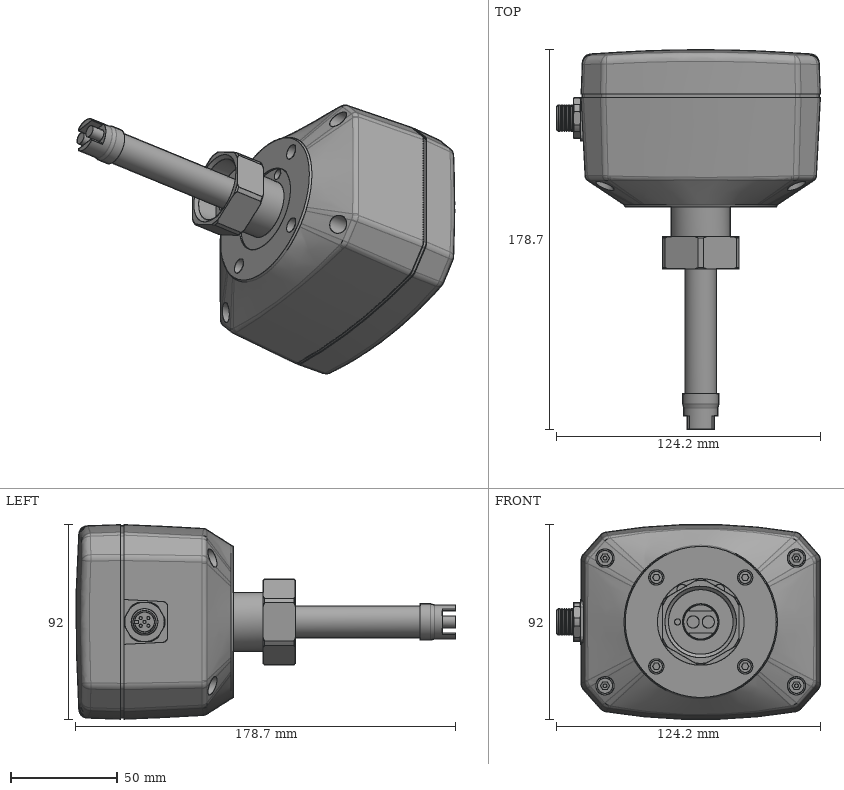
import cadquery as cq
import math


half_width = 56.3
half_height = 46.0
corner_side_z = 30.5
corner_top_x = 46.1
corner_top_z = 42.0
edge_radius = 4.5
back_y = 74.1
dome_radius = 625.3
seam_back_y = 53.0
seam_front_y = 51.5
seam_depth = 0.5
shoulder_y = 13.2
body_draft = 2.9
cover_draft = 2.2
shoulder_radius = 2.7
edge_margin = 0.2

plate_radius = 36.0
plate_thickness = 1.0
plate_draft = 28.0
recess_radius = 20.4
recess_depth = 0.9
recess_hole_radius = 2.5
recess_hole_circle = 17.5
recess_hole_depth = 3.5

corner_screw_x = 45.0
corner_screw_z = 30.0
corner_hole_radius = 4.3
corner_hole_floor = 25.0
plate_screw_offset = 20.9
plate_hole_radius = 3.5
plate_hole_floor = 5.4
screw_head_gap = 0.7
screw_head_height = 1.8
socket_depth = 1.0
socket_ratio = 1.2
security_pin_radius = 0.9

pipe_radius = 14.0
nut_back_y = -14.0
nut_front_y = -29.1
nut_apothem = 18.0
nut_corner_radius = 20.2
nut_bevel = 0.7
nut_bore_radius = 15.2
nut_bore_bevel = 1.6
nut_bore_depth = 11.6
vent_radius = 1.5
vent_x = -10.9
vent_depth = 3.5

tube_radius = 7.5
collar_radius = 8.5
tip_radius = 8.0
collar_back_y = -87.7
collar_front_y = -92.5
tip_back_y = -94.5
slot_y = -98.3
tip_y = back_y - 178.7
guard_half_width = 5.4
guard_inner_z = 5.2
sensor_radius = 2.9
sensor_x = 3.5

plug_y = 41.8
pad_x = -56.5
pad_front_y = 30.9
pad_depth = 5.4
pad_seam_half = 10.5
pad_front_half = 9.5
pad_corner_radius = 2.5
plug_nut_x = -59.9
plug_nut_apothem = 9.1
plug_nut_corner_radius = 9.6
plug_nut_bevel = 0.4
plug_tip_x = -67.9
plug_radius = 6.3
plug_bevel = 0.9
neck_radius = 5.4
neck_length = 0.5
thread_pitch = 1.0
thread_depth = 0.5
plug_bore_radius = 4.6
plug_bore_depth = 5.4
pin_radius = 0.7
pin_offset = 1.8
pin_length = 4.3
key_width = 1.3
key_height = 1.8


def front_plane(y):
    """Plane facing -Y at the given y, with local X along X and local Y along Z."""
    return cq.Plane(origin=(0, y, 0), xDir=(1, 0, 0), normal=(0, -1, 0))


def back_plane(y):
    """Plane facing +Y at the given y, with local X along -X and local Y along Z."""
    return cq.Plane(origin=(0, y, 0), xDir=(-1, 0, 0), normal=(0, 1, 0))


def plug_plane(x):
    """Plane facing -X on the plug axis, with local X along -Y and local Y along Z."""
    return cq.Plane(origin=(x, plug_y, 0), xDir=(0, -1, 0), normal=(-1, 0, 0))


def rod(y_from, y_to, radius, points=((0, 0),)):
    """Cylinders along -Y at the given (x, z) points."""
    return cq.Workplane(front_plane(y_from)).pushPoints(points).circle(radius).extrude(y_from - y_to)


def four_corners(x, z):
    return [(x, z), (-x, z), (-x, -z), (x, -z)]


def outline(plane):
    """Sharp housing outline on the given plane."""
    return (
        cq.Workplane(plane)
        .moveTo(half_width, -corner_side_z)
        .lineTo(half_width, corner_side_z)
        .lineTo(corner_top_x, corner_top_z)
        .threePointArc((0, half_height), (-corner_top_x, corner_top_z))
        .lineTo(-half_width, corner_side_z)
        .lineTo(-half_width, -corner_side_z)
        .lineTo(-corner_top_x, -corner_top_z)
        .threePointArc((0, -half_height), (corner_top_x, -corner_top_z))
        .close()
    )


def tapered(plane, length, draft):
    """Housing outline extruded with draft, its corners still sharp."""
    return outline(plane).extrude(length, taper=draft)


def slab(y_from, y_to):
    """Selects edges whose middle lies between two Y positions."""
    return cq.selectors.BoxSelector((-half_width, y_from, -half_height), (half_width, y_to, half_height))


def nose(front_wire):
    """Ruled funnel from the housing front outline to the round plate."""
    corners = sorted(
        ((v.X, v.Z) for v in front_wire.Vertices()),
        key=lambda p: math.atan2(p[1], p[0]),
    )
    angles = [math.atan2(z, x) for x, z in corners]

    def rim_point(angle):
        return cq.Vector(plate_radius * math.cos(angle), plate_thickness, plate_radius * math.sin(angle))

    arcs = []
    for start, end in zip(angles, angles[1:] + [angles[0] + 2 * math.pi]):
        middle = (start + end) / 2
        arcs.append(cq.Edge.makeThreePointArc(rim_point(start), rim_point(middle), rim_point(end)))
    rim_wire = cq.Wire.assembleEdges(arcs)
    return cq.Workplane(cq.Solid.makeLoft([front_wire, rim_wire], True))


def housing():
    body = tapered(front_plane(seam_front_y), seam_front_y - shoulder_y, body_draft)
    body = body.edges(slab(shoulder_y + edge_margin, seam_front_y - edge_margin)).fillet(edge_radius)
    front_wire = body.faces("<Y").wires().val()
    body = body.union(nose(front_wire))
    body = body.edges(slab(shoulder_y - edge_margin, shoulder_y + edge_margin)).fillet(shoulder_radius)

    cover = tapered(back_plane(seam_back_y), back_y - seam_back_y, cover_draft)
    dome = cq.Workplane("XY").sphere(dome_radius).translate((0, back_y - dome_radius, 0))
    cover = cover.intersect(dome)
    cover = cover.edges(slab(seam_back_y + edge_margin, back_y)).fillet(edge_radius)

    seam_width = seam_back_y - seam_front_y
    seam = outline(front_plane(seam_back_y)).offset2D(-seam_depth).extrude(seam_width)
    seam = seam.edges("|Y").fillet(edge_radius - seam_depth)

    plate = (
        cq.Workplane(front_plane(plate_thickness)).circle(plate_radius)
        .extrude(plate_thickness, taper=plate_draft)
    )
    return body.union(seam).union(cover).union(plate)


def add_screws(part, points, hole_radius, floor_y):
    """Sink round holes and leave a screw head with a hex socket on each floor."""
    head_radius = hole_radius - screw_head_gap
    head_y = floor_y - screw_head_height
    holes = rod(floor_y, 0, hole_radius, points)
    heads = rod(floor_y, head_y, head_radius, points)
    sockets = (
        cq.Workplane(front_plane(head_y + socket_depth)).pushPoints(points)
        .polygon(6, socket_ratio * head_radius).extrude(socket_depth)
    )
    return part.cut(holes).union(heads.cut(sockets))


def hexagon(plane, apothem, corner_r, length, bevel, turn):
    """Hexagon bar whose corners are turned down to a radius, beveled at both ends."""
    width_over_corners = 2 * apothem / math.cos(math.pi / 6)
    bar = cq.Workplane(plane.rotated((0, 0, turn))).polygon(6, width_over_corners).extrude(length)
    turned = cq.Workplane(plane).circle(corner_r).extrude(length).edges().chamfer(bevel)
    return bar.intersect(turned)


def recess():
    cut = rod(recess_depth, 0, recess_radius)
    angles = [math.radians(a) for a in (60, 120)]
    points = [(recess_hole_circle * math.cos(a), recess_hole_circle * math.sin(a)) for a in angles]
    return cut.union(rod(recess_hole_depth, 0, recess_hole_radius, points))


def union_nut():
    length = nut_back_y - nut_front_y
    nut = hexagon(front_plane(nut_back_y), nut_apothem, nut_corner_radius, length, nut_bevel, 30)
    floor_y = nut_front_y + nut_bore_depth
    nut = nut.cut(rod(floor_y, nut_front_y, nut_bore_radius))
    nut = nut.faces("<Y").edges("%CIRCLE").edges(cq.selectors.RadiusNthSelector(0)).chamfer(nut_bore_bevel)
    vent = rod(floor_y + vent_depth, floor_y, vent_radius, [(vent_x, 0)])
    return nut.union(rod(recess_depth, floor_y, pipe_radius)).cut(vent)


def probe():
    """Turned tube with collar; two guards and two sensor pins stand at its tip."""
    profile = [
        (0, nut_back_y),
        (tube_radius, nut_back_y),
        (tube_radius, collar_back_y),
        (collar_radius, collar_back_y),
        (collar_radius, collar_front_y),
        (tip_radius, tip_back_y),
        (tip_radius, slot_y),
        (0, slot_y),
    ]
    tube = cq.Workplane("XY").polyline(profile).close().revolve(360, (0, 0), (0, 1))
    guards = rod(slot_y, tip_y, tip_radius)
    height = tip_radius - guard_inner_z
    guard_z = guard_inner_z + height / 2
    blocks = (
        cq.Workplane(front_plane(slot_y)).pushPoints([(0, guard_z), (0, -guard_z)])
        .rect(2 * guard_half_width, height).extrude(slot_y - tip_y)
    )
    sensors = rod(slot_y, tip_y, sensor_radius, [(sensor_x, 0), (-sensor_x, 0)])
    return tube.union(guards.intersect(blocks)).union(sensors)


def connector_pad():
    """Flat pad standing on the drafted side, widening towards the seam."""
    front = plug_y - pad_front_y
    seam = plug_y - seam_front_y
    pad = (
        cq.Workplane(plug_plane(pad_x + pad_depth))
        .polyline([
            (seam, pad_seam_half),
            (front, pad_front_half),
            (front, -pad_front_half),
            (seam, -pad_seam_half),
        ])
        .close().extrude(pad_depth)
    )
    return pad.edges("|X").edges("<Y").fillet(pad_corner_radius)


def plug():
    """Threaded round plug with a keyed socket, five pins and a lock nut."""
    nut = hexagon(plug_plane(pad_x), plug_nut_apothem, plug_nut_corner_radius,
                  pad_x - plug_nut_x, plug_nut_bevel, 0)
    neck = cq.Workplane(plug_plane(plug_nut_x)).circle(neck_radius).extrude(neck_length)
    barrel_x = plug_nut_x - neck_length
    length = barrel_x - plug_tip_x
    barrel = cq.Workplane(plug_plane(barrel_x)).circle(plug_radius).extrude(length)
    barrel = barrel.faces("<X").chamfer(plug_bevel)

    thread_length = length - plug_bevel
    for turn in range(1, int(thread_length / thread_pitch)):
        middle = barrel_x - turn * thread_pitch
        groove = (
            cq.Workplane("XY")
            .polyline([
                (middle - thread_pitch / 2, plug_y + plug_radius),
                (middle + thread_pitch / 2, plug_y + plug_radius),
                (middle, plug_y + plug_radius - thread_depth),
            ])
            .close().revolve(360, (0, plug_y), (1, plug_y))
        )
        barrel = barrel.cut(groove)

    floor = plug_plane(plug_tip_x + plug_bore_depth)
    bore = cq.Workplane(floor).circle(plug_bore_radius).extrude(plug_bore_depth)
    points = [(0, 0)] + four_corners(pin_offset, pin_offset)
    pins = cq.Workplane(floor).pushPoints(points).circle(pin_radius).extrude(pin_length)
    key = (
        cq.Workplane(floor).center(key_height / 2 - plug_bore_radius, 0)
        .rect(key_height, key_width).extrude(pin_length)
    )
    return nut.union(neck).union(barrel).cut(bore).union(pins).union(key)


corner_points = four_corners(corner_screw_x, corner_screw_z)
plate_points = four_corners(plate_screw_offset, plate_screw_offset)
security_pins = rod(
    corner_hole_floor, corner_hole_floor - screw_head_height, security_pin_radius, corner_points
)

result = housing().cut(recess())
result = add_screws(result, corner_points, corner_hole_radius, corner_hole_floor)
result = result.union(security_pins)
result = add_screws(result, plate_points, plate_hole_radius, plate_hole_floor)
result = result.union(union_nut()).union(probe())
result = result.union(connector_pad()).union(plug())